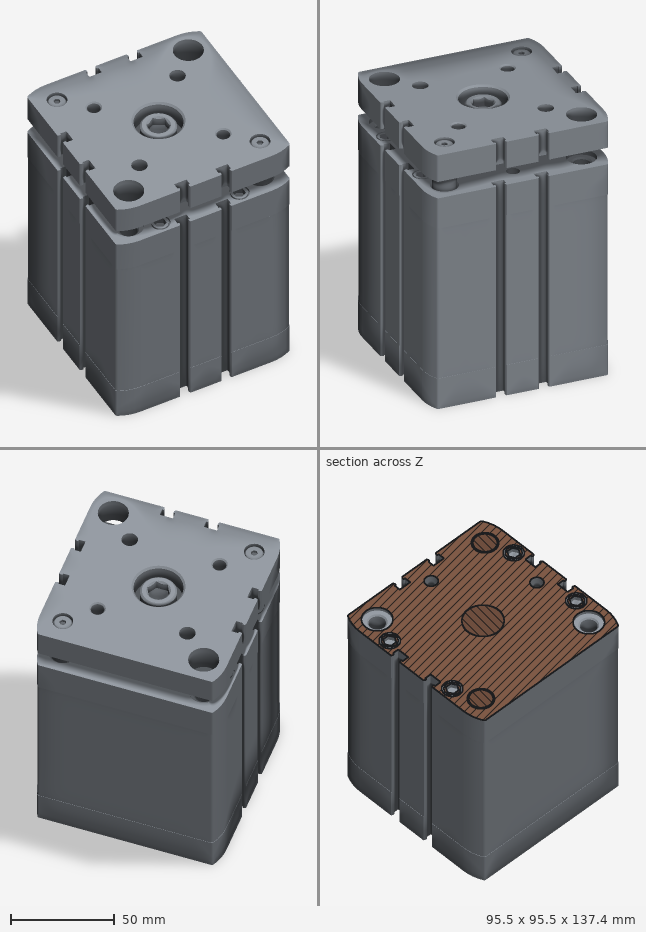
import cadquery as cq
import math

width = 95.5
total_height = 137.4
housing_height = 114.2
plate_thickness = 14.3
cap_height = 16.5
tube_inset = 0.1
half_width = width / 2
plate_bottom = total_height - plate_thickness
tube_height = housing_height - 2 * cap_height

corner_length = 11.7
corner_radius = 23.6
cap_edge_radius = 1.1
tube_edge_radius = 1.5

slot_offset = 11.3
slot_opening = 5.0
slot_inner_width = 6.7
slot_depth = 5.2
slot_lip = 1.8
slot_chamfer_width = 0.4
slot_chamfer_depth = 0.8

corner_offset = 36.0
guide_diameter = 12.0
guide_entry_diameter = 14.0
guide_depth = 82.5
guide_bottom = housing_height - guide_depth
rod_diameter = 20.0
rod_flats_width = 17.0
rod_flats_height = 6.9
rod_flats_slope = 0.8
rod_depth = 55.0
rod_bottom = housing_height - rod_depth

recess_diameter = 24.0
recess_depth = 10.0
recess_chamfer = 1.0
rod_end_diameter = 18.0
rod_end_drop = 2.9
rod_end_chamfer = 1.0
socket_entry_diameter = 12.0
socket_flats_width = 10.0
socket_depth = 5.0
socket_bore_diameter = 6.0
socket_taper_height = 1.2
socket_tip_height = 1.5

access_diameter = 15.0
mount_offset = 23.0
dowel_diameter = 8.0
thread_diameter = 6.6
thread_entry_diameter = 8.0
guide_seat_diameter = 10.0
guide_end_diameter = 8.8
guide_end_chamfer = 0.4
guide_end_drop = 1.0
guide_seat_depth = 2.7
guide_socket_flats_width = 3.0
guide_socket_depth = 1.4

counterbore_depth = 2.5
through_diameter = 8.5
through_entry_diameter = 10.0
screw_x = 41.4
screw_y = 21.7
screw_seat_diameter = 10.0
screw_head_diameter = 8.4
screw_seat_depth = 1.0
screw_socket_flats_width = 5.5
screw_socket_depth = 3.0
blind_hole_offset = 36.0
blind_hole_diameter = 6.6
blind_hole_depth = 8.2

guide_points = [(-corner_offset, -corner_offset), (corner_offset, corner_offset)]
access_points = [(-corner_offset, corner_offset), (corner_offset, -corner_offset)]
thread_points = [(-mount_offset, -mount_offset), (mount_offset, mount_offset)]
blind_points = [(-blind_hole_offset, 0), (0, -blind_hole_offset)]
screw_points = [(x, y) for x in (-screw_x, screw_x) for y in (-screw_y, screw_y)]
dowel_points = [(-mount_offset, mount_offset), (mount_offset, -mount_offset)]


def cylinder(diameter, bottom, top, points=((0, 0),)):
    """Upright cylinders between two heights."""
    centers = cq.Workplane(origin=(0, 0, bottom)).pushPoints(points)
    return centers.circle(diameter / 2).extrude(top - bottom)


def cone(bottom_diameter, top_diameter, bottom, top, points=((0, 0),)):
    """Upright cones between two heights."""
    single = cq.Solid.makeCone(bottom_diameter / 2, top_diameter / 2, top - bottom)
    centers = cq.Workplane(origin=(0, 0, bottom)).pushPoints(points)
    return centers.eachpoint(lambda place: single.moved(place), combine=True)


def entry_chamfer(hole_diameter, entry_diameter, face, points=((0, 0),)):
    """45 degree lead-in of a hole that opens upwards."""
    depth = (entry_diameter - hole_diameter) / 2
    return cone(hole_diameter, entry_diameter, face - depth, face, points)


def hexagon(flats_width, bottom, top, points=((0, 0),)):
    """Upright hexagonal prisms with two corners along X."""
    corner_diameter = flats_width / math.cos(math.pi / 6)
    centers = cq.Workplane(origin=(0, 0, bottom)).pushPoints(points)
    return centers.polygon(6, corner_diameter).extrude(top - bottom)


def rounded_block(half, bottom, height, edge_radius):
    """Square block whose X faces curve inwards to meet the flat Y faces in small rounds."""
    start = half - corner_length
    center_x = half - corner_radius
    corner_x = center_x + math.sqrt(corner_radius**2 - corner_length**2)
    middle_angle = math.asin(corner_length / corner_radius) / 2
    middle_x = center_x + corner_radius * math.cos(middle_angle)
    middle_y = start + corner_radius * math.sin(middle_angle)
    outline = (
        cq.Workplane(origin=(0, 0, bottom))
        .moveTo(half, -start)
        .lineTo(half, start)
        .threePointArc((middle_x, middle_y), (corner_x, half))
        .lineTo(-corner_x, half)
        .threePointArc((-middle_x, middle_y), (-half, start))
        .lineTo(-half, -start)
        .threePointArc((-middle_x, -middle_y), (-corner_x, -half))
        .lineTo(corner_x, -half)
        .threePointArc((middle_x, -middle_y), (half, -start))
        .close()
    )
    block = outline.extrude(height)
    return block.faces("<Y or >Y").edges("|Z").fillet(edge_radius)


def t_slots(bottom, height):
    """Pairs of T-slots, with chamfered lips, along the -Y, -X and +X faces."""
    neck = slot_opening / 2
    mouth = neck + slot_chamfer_width
    inner = slot_inner_width / 2
    right_side = [
        (mouth, 0),
        (neck, slot_chamfer_depth),
        (neck, slot_lip),
        (inner, slot_lip),
        (inner, slot_depth),
    ]
    left_side = [(-x, y) for x, y in reversed(right_side)]
    profile = cq.Workplane(origin=(0, -half_width, bottom)).polyline(right_side + left_side).close()
    slot = profile.extrude(height)
    pair = slot.translate((-slot_offset, 0, 0)).union(slot.translate((slot_offset, 0, 0)))
    slots = pair
    for angle in (-90, 90):
        slots = slots.union(pair.rotate((0, 0, 0), (0, 0, 1), angle))
    return slots


def cut_rod_bores(body):
    """Bores for the piston rod and, with a lead-in, for the guide rods."""
    body = body.cut(cylinder(rod_diameter, rod_bottom, housing_height))
    body = body.cut(cylinder(guide_diameter, guide_bottom, housing_height, guide_points))
    return body.cut(entry_chamfer(guide_diameter, guide_entry_diameter, housing_height, guide_points))


def cut_through_holes(body):
    """Counterbored through holes below the access holes of the plate."""
    floor = housing_height - counterbore_depth
    body = body.cut(cylinder(access_diameter, floor, housing_height, access_points))
    body = body.cut(cylinder(through_diameter, 0, floor, access_points))
    return body.cut(entry_chamfer(through_diameter, through_entry_diameter, floor, access_points))


def cut_cover_screws(body):
    """Flush screw heads, each a ring groove around a hexagon socket."""
    groove_floor = housing_height - screw_seat_depth
    groove = cylinder(screw_seat_diameter, groove_floor, housing_height, screw_points)
    groove = groove.cut(cylinder(screw_head_diameter, groove_floor, housing_height, screw_points))
    socket_floor = housing_height - screw_socket_depth
    sockets = hexagon(screw_socket_flats_width, socket_floor, housing_height, screw_points)
    return body.cut(groove).cut(sockets)


def make_housing():
    """Tube between two end caps."""
    upper_cap_bottom = cap_height + tube_height
    body = rounded_block(half_width, 0, cap_height, cap_edge_radius)
    body = body.union(rounded_block(half_width - tube_inset, cap_height, tube_height, tube_edge_radius))
    body = body.union(rounded_block(half_width, upper_cap_bottom, cap_height, cap_edge_radius))
    body = body.cut(t_slots(0, housing_height))
    body = cut_rod_bores(body)
    body = cut_through_holes(body)
    body = cut_cover_screws(body)
    blind_floor = housing_height - blind_hole_depth
    return body.cut(cylinder(blind_hole_diameter, blind_floor, housing_height, blind_points))


def piston_rod():
    """Round rod with two wrench flats below the plate, on the -Y and +Y sides."""
    rod = cylinder(rod_diameter, rod_bottom, plate_bottom)
    flat = rod_flats_width / 2
    edge = rod_diameter / 2
    flat_bottom = plate_bottom - rod_flats_height
    for side in (-1, 1):
        outline = [
            (side * flat, flat_bottom),
            (side * edge, flat_bottom - rod_flats_slope),
            (side * edge, plate_bottom),
            (side * flat, plate_bottom),
        ]
        rod = rod.cut(cq.Workplane("YZ").polyline(outline).close().extrude(edge, both=True))
    return rod


def add_rod_end(plate):
    """Chamfered central recess with the rod end and its hexagon socket standing in it."""
    recess_floor = total_height - recess_depth
    end_top = total_height - rod_end_drop
    recess_entry = recess_diameter + 2 * recess_chamfer
    plate = plate.cut(cylinder(recess_diameter, recess_floor, total_height))
    plate = plate.cut(entry_chamfer(recess_diameter, recess_entry, total_height))
    rod_end = cylinder(rod_end_diameter, recess_floor, end_top)
    plate = plate.union(rod_end.faces(">Z").chamfer(rod_end_chamfer))

    socket_floor = end_top - socket_depth
    taper_bottom = socket_floor - socket_taper_height
    plate = plate.cut(hexagon(socket_flats_width, socket_floor, end_top))
    plate = plate.cut(entry_chamfer(socket_flats_width, socket_entry_diameter, end_top))
    plate = plate.cut(cone(socket_bore_diameter, socket_flats_width, taper_bottom, socket_floor))
    return plate.cut(cone(0, socket_bore_diameter, taper_bottom - socket_tip_height, taper_bottom))


def cut_plate_holes(plate):
    """Access, dowel and threaded holes, all through the plate."""
    plate = plate.cut(cylinder(access_diameter, plate_bottom, total_height, access_points))
    plate = plate.cut(cylinder(dowel_diameter, plate_bottom, total_height, dowel_points))
    plate = plate.cut(cylinder(thread_diameter, plate_bottom, total_height, thread_points))
    return plate.cut(entry_chamfer(thread_diameter, thread_entry_diameter, total_height, thread_points))


def add_guide_rods(plate):
    """Guide rods, whose ends with small hexagon sockets stand in round seats of the plate."""
    seat_floor = total_height - guide_seat_depth
    end_top = total_height - guide_end_drop
    plate = plate.cut(cylinder(guide_seat_diameter, seat_floor, total_height, guide_points))
    ends = cylinder(guide_end_diameter, seat_floor, end_top, guide_points)
    plate = plate.union(ends.faces(">Z").chamfer(guide_end_chamfer))
    plate = plate.cut(hexagon(guide_socket_flats_width, end_top - guide_socket_depth, end_top, guide_points))
    return plate.union(cylinder(guide_diameter, guide_bottom, plate_bottom, guide_points))


def make_piston():
    """Front plate carried by the piston rod and two guide rods."""
    plate = rounded_block(half_width, plate_bottom, plate_thickness, cap_edge_radius)
    plate = plate.cut(t_slots(plate_bottom, plate_thickness))
    plate = add_rod_end(plate)
    plate = cut_plate_holes(plate)
    plate = add_guide_rods(plate)
    return plate.union(piston_rod())


housing = make_housing()
piston = make_piston()
result = cq.Compound.makeCompound([housing.solids().val(), piston.solids().val()])